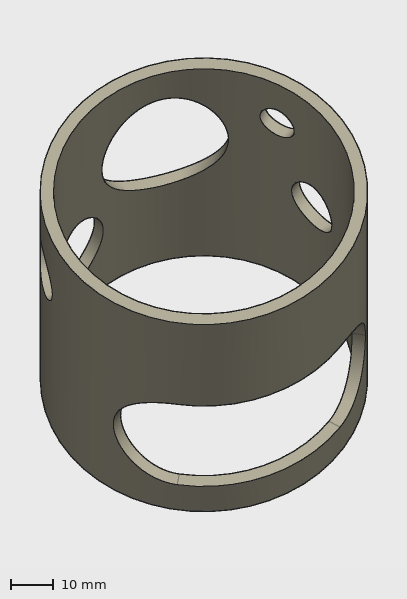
import cadquery as cq
import math

outer_diameter = 76.2
wall = 3.1
height = 75.0
outer_radius = outer_diameter / 2

plug_inner_distance = 0.6 * outer_radius
plug_outer_distance = 1.2 * outer_radius
outline_segments = 40

round_holes = [
    (15.0, 53.8, 257.6),
    (24.6, 22.8, 217.1),
    (34.6, 47.3, 173.2),
    (10.0, 59.6, 127.2),
    (15.0, 35.35, 109.6),
]

window_height = 32.15
window_center_height = 26.2
window_end_angle = 32.8


def radial_cutter(diameter, center_height, angle):
    """Plug whose outline is a circle wrapped onto the outer wall.

    Its walls run radially from the tube axis, so the plug widens outward.
    """
    radius = diameter / 2

    def outline(distance):
        def point(t):
            turn = 2 * math.pi * t
            wrap_angle = radius * math.cos(turn) / outer_radius
            return distance * math.tan(wrap_angle), radius * math.sin(turn)

        return (
            cq.Workplane("YZ", origin=(distance, 0, 0))
            .parametricCurve(point, N=outline_segments)
            .val()
        )

    ends = [outline(plug_inner_distance), outline(plug_outer_distance)]
    plug = cq.Workplane(obj=cq.Solid.makeLoft(ends, True))
    return plug.rotate((0, 0, 0), (0, 0, 1), angle).translate((0, 0, center_height))


def window_wedge():
    """Straight-edged middle of the window, between the centres of its round ends."""
    half_width = plug_outer_distance * math.tan(math.radians(window_end_angle))
    return (
        cq.Workplane("XY", origin=(0, 0, window_center_height - window_height / 2))
        .polyline([(0, 0), (plug_outer_distance, -half_width), (plug_outer_distance, half_width)])
        .close()
        .extrude(window_height)
    )


result = cq.Workplane("XY").circle(outer_radius).circle(outer_radius - wall).extrude(height)
for diameter, center_height, angle in round_holes:
    result = result.cut(radial_cutter(diameter, center_height, angle))
result = result.cut(window_wedge())
for angle in (-window_end_angle, window_end_angle):
    result = result.cut(radial_cutter(window_height, window_center_height, angle))